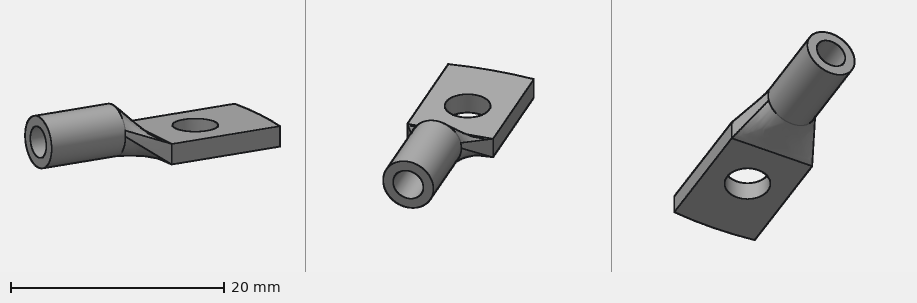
import cadquery as cq

total_length = 23.97
tongue_width = 8.5
tongue_thickness = 2.01

barrel_diameter = 5.0
bore_diameter = 3.0
barrel_length = 7.98
barrel_lift = 0.38
barrel_axis_z = barrel_lift + barrel_diameter / 2

transition_length = 4.03
tongue_start = barrel_length + transition_length
sag_run = 1.8
sag_height = 3.45
sag_start_slope = -1.0
sag_end_slope = -0.3
hole_diameter = 4.3
hole_y = tongue_start + 4.99
end_crown = 0.26


def make_barrel():
    """Solid round barrel, its open end at Y = 0."""
    front = cq.Workplane("XZ", origin=(0, 0, barrel_axis_z))
    return front.circle(barrel_diameter / 2).extrude(-barrel_length)


def make_transition():
    """Loft from the round barrel to the rectangular tongue."""
    return (
        cq.Workplane("XZ", origin=(0, barrel_length, barrel_axis_z))
        .circle(barrel_diameter / 2)
        .workplane(offset=-transition_length)
        .center(0, tongue_thickness / 2 - barrel_axis_z)
        .rect(tongue_width, tongue_thickness)
        .loft(ruled=True)
    )


def make_top_sag():
    """Space above the concave top line of the transition, cut away across the full width."""
    barrel_top = barrel_lift + barrel_diameter
    return (
        cq.Workplane("YZ")
        .moveTo(barrel_length, barrel_top)
        .spline(
            [(barrel_length + sag_run, sag_height), (tongue_start, tongue_thickness)],
            tangents=[(1, sag_start_slope), (1, sag_end_slope)],
            includeCurrent=True,
        )
        .lineTo(tongue_start, barrel_top)
        .close()
        .extrude(tongue_width / 2, both=True)
    )


def make_tongue():
    """Flat tongue with a slightly crowned far end."""
    half_width = tongue_width / 2
    corner_y = total_length - end_crown
    return (
        cq.Workplane("XY")
        .moveTo(-half_width, tongue_start)
        .lineTo(-half_width, corner_y)
        .threePointArc((0, total_length), (half_width, corner_y))
        .lineTo(half_width, tongue_start)
        .close()
        .extrude(tongue_thickness)
    )


def make_bore():
    """Blind wire bore, as deep as the barrel is long."""
    front = cq.Workplane("XZ", origin=(0, 0, barrel_axis_z))
    return front.circle(bore_diameter / 2).extrude(-barrel_length)


def make_stud_hole():
    """Stud hole through the tongue."""
    return cq.Workplane("XY").center(0, hole_y).circle(hole_diameter / 2).extrude(tongue_thickness)


transition = make_transition().cut(make_top_sag())
body = make_barrel().union(transition).union(make_tongue())
result = body.cut(make_bore()).cut(make_stud_hole())